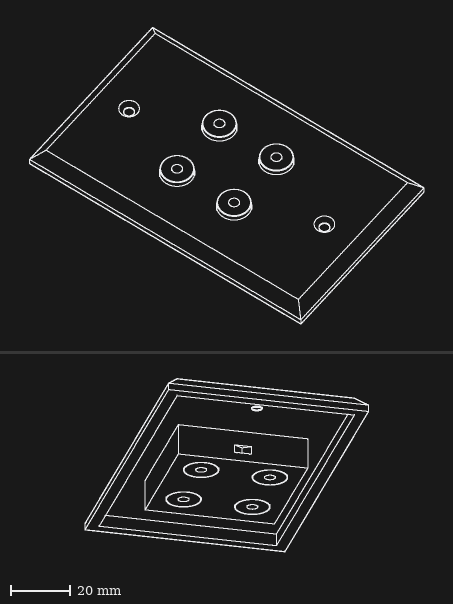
import cadquery as cq
import math

plate_length = 114.3
plate_width = 69.8
rim_height = 2.4
bevel_height = 4.0
bevel_inset = bevel_height
plate_height = rim_height + bevel_height
face_thickness = 2.1
wall_thickness = 4.0
cavity_height = plate_height - face_thickness

box_length = 45.5
box_width = 45.1
box_depth = 6.6
box_offset = 0.5

bushing_pitch = 24.0
bushing_diameter = 11.5
bushing_hole_diameter = 12.0
bushing_bore_diameter = 3.7
bushing_rise = 2.0
bushing_chamfer = 0.2
bushing_height = box_depth + plate_height + bushing_rise

screw_spacing = 82.3
screw_hole_diameter = 3.7
countersink_diameter = 7.0
countersink_angle = 90.0

notch_width = 6.0
notch_height = 2.7
notch_drop = 0.9
notch_face_angle = 30.0
notch_depth = notch_width / 2 * math.tan(math.radians(notch_face_angle))

bushing_centres = [
    (x, y)
    for x in (-bushing_pitch / 2, bushing_pitch / 2)
    for y in (-bushing_pitch / 2, bushing_pitch / 2)
]
screw_centres = [(-screw_spacing / 2, 0), (screw_spacing / 2, 0)]


def make_bevelled_shell():
    """Bevelled plate with an open cavity on its underside."""
    rim = cq.Workplane("XY").rect(plate_length, plate_width).extrude(rim_height)
    bevel = (
        cq.Workplane("XY", origin=(0, 0, rim_height))
        .rect(plate_length, plate_width)
        .workplane(offset=bevel_height)
        .rect(plate_length - 2 * bevel_inset, plate_width - 2 * bevel_inset)
        .loft()
    )
    cavity = (
        cq.Workplane("XY")
        .rect(plate_length - 2 * wall_thickness, plate_width - 2 * wall_thickness)
        .extrude(cavity_height)
    )
    return rim.union(bevel).cut(cavity)


def make_box():
    """Box that reaches from below the plate up to the cavity roof, with its side notch."""
    box = (
        cq.Workplane("XY", origin=(box_offset, 0, -box_depth))
        .rect(box_length, box_width)
        .extrude(box_depth + cavity_height)
    )
    notch = (
        cq.Workplane("XY", origin=(box_offset - box_length / 2, 0, -notch_drop))
        .moveTo(0, -notch_width / 2)
        .lineTo(notch_depth, 0)
        .lineTo(0, notch_width / 2)
        .close()
        .extrude(-notch_height)
    )
    return box.cut(notch)


def make_plate():
    """Plate and box in one piece, with the bushing holes and screw holes."""
    bushing_holes = (
        cq.Workplane("XY", origin=(0, 0, -box_depth))
        .pushPoints(bushing_centres)
        .circle(bushing_hole_diameter / 2)
        .extrude(box_depth + plate_height)
    )
    return (
        make_bevelled_shell()
        .union(make_box())
        .cut(bushing_holes)
        .faces(">Z")
        .workplane(origin=(0, 0, plate_height))
        .pushPoints(screw_centres)
        .cskHole(screw_hole_diameter, countersink_diameter, countersink_angle)
    )


def make_bushing(x, y):
    """Round bushing with a chamfered top edge and a through bore."""
    return (
        cq.Workplane("XY", origin=(x, y, -box_depth))
        .circle(bushing_diameter / 2)
        .extrude(bushing_height)
        .faces(">Z")
        .edges()
        .chamfer(bushing_chamfer)
        .faces(">Z")
        .workplane()
        .hole(bushing_bore_diameter)
    )


plate = make_plate()
bushings = [make_bushing(x, y) for x, y in bushing_centres]

result = cq.Compound.makeCompound([plate.val(), *[bushing.val() for bushing in bushings]])